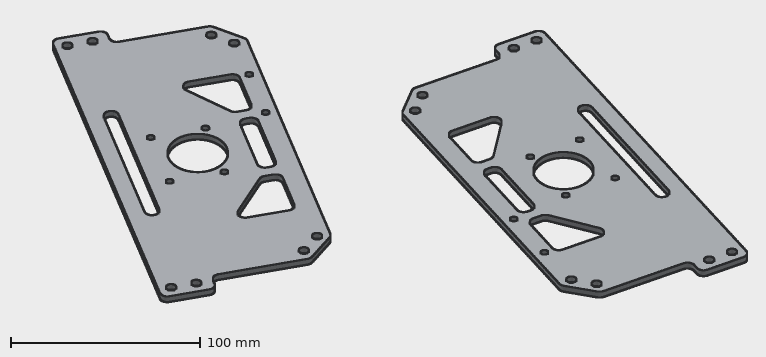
import cadquery as cq

THICKNESS = 4.0
WIDTH = 223.6
DEPTH = 100.0
BODY_WIDTH = 201.6
TAB_HEIGHT = 30.0
SHOULDER_CHAMFER = 15.5
CORNER_RADIUS = 4.0

BORE_DIAMETER = 32.0
BOLT_DIAMETER = 4.0
BOLT_SPACING_X = 38.0
BOLT_SPACING_Y = 30.0
BOLT_CENTRE_Y = -5.6

BACK_HOLE_DIAMETER = 4.0
BACK_HOLE_SPACING = 33.0
BACK_HOLE_CENTRE = (-39.8, 43.5)

MOUNT_DIAMETER = 5.4
MOUNT_POINTS = [(83.7, 42.7), (93.4, 32.8), (104.8, -29.2), (104.8, -43.0)]

WINDOW_BACK_Y = 38.0
WINDOW_RADIUS = 4.0
BACK_SLOT_LENGTH = 42.4
BACK_SLOT_WIDTH = 10.0
FRONT_SLOT_LENGTH = 90.0
FRONT_SLOT_WIDTH = 8.0
FRONT_SLOT_CENTRE = (-1.0, -36.0)
SIDE_WINDOW_INNER_X = 27.9
SIDE_WINDOW_OUTER_X = 58.9
SIDE_WINDOW_FRONT_Y = 7.1
SIDE_WINDOW_INNER_LENGTH = 10.9
SIDE_WINDOW_FRONT_LENGTH = 5.5


def prism(points):
    """Extrude a closed outline through the plate thickness."""
    return cq.Workplane("XY").polyline(points).close().extrude(THICKNESS)


def plate():
    """Plate with chamfered back shoulders and a tab at each front corner."""
    half_width = WIDTH / 2
    half_body = BODY_WIDTH / 2
    back = DEPTH / 2
    front = -back
    tab_back = front + TAB_HEIGHT
    right_side = [
        (half_width, front),
        (half_width, tab_back),
        (half_body, tab_back),
        (half_body, back - SHOULDER_CHAMFER),
        (half_body - SHOULDER_CHAMFER, back),
    ]
    left_side = [(-x, y) for x, y in reversed(right_side)]
    return prism(right_side + left_side).edges("|Z").fillet(CORNER_RADIUS)


def round_holes(diameter, points):
    """Through holes of one diameter."""
    return cq.Workplane("XY").pushPoints(points).circle(diameter / 2).extrude(THICKNESS)


def back_slot():
    """Rounded rectangular opening behind the bore."""
    centre_y = WINDOW_BACK_Y - BACK_SLOT_WIDTH / 2
    block = cq.Workplane("XY").center(0, centre_y).rect(BACK_SLOT_LENGTH, BACK_SLOT_WIDTH).extrude(THICKNESS)
    return block.edges("|Z").fillet(WINDOW_RADIUS)


def front_slot():
    """Long slot with full-round ends in front of the bore."""
    outline = cq.Workplane("XY").center(*FRONT_SLOT_CENTRE).slot2D(FRONT_SLOT_LENGTH, FRONT_SLOT_WIDTH)
    return outline.extrude(THICKNESS)


def side_window(side):
    """Rectangular window with its inner front corner cut away; side is +1 or -1 along X."""
    points = [
        (SIDE_WINDOW_INNER_X, WINDOW_BACK_Y),
        (SIDE_WINDOW_OUTER_X, WINDOW_BACK_Y),
        (SIDE_WINDOW_OUTER_X, SIDE_WINDOW_FRONT_Y),
        (SIDE_WINDOW_OUTER_X - SIDE_WINDOW_FRONT_LENGTH, SIDE_WINDOW_FRONT_Y),
        (SIDE_WINDOW_INNER_X, WINDOW_BACK_Y - SIDE_WINDOW_INNER_LENGTH),
    ]
    return prism([(side * x, y) for x, y in points]).edges("|Z").fillet(WINDOW_RADIUS)


bolt_points = [
    (side_x * BOLT_SPACING_X / 2, BOLT_CENTRE_Y + side_y * BOLT_SPACING_Y / 2)
    for side_x in (-1, 1)
    for side_y in (-1, 1)
]
back_x, back_y = BACK_HOLE_CENTRE
back_points = [(back_x + side * BACK_HOLE_SPACING / 2, back_y) for side in (-1, 1)]
mount_points = [(side * x, y) for side in (-1, 1) for x, y in MOUNT_POINTS]

result = plate()
result = result.cut(round_holes(BORE_DIAMETER, [(0, 0)]))
result = result.cut(round_holes(BOLT_DIAMETER, bolt_points))
result = result.cut(round_holes(BACK_HOLE_DIAMETER, back_points))
result = result.cut(round_holes(MOUNT_DIAMETER, mount_points))
result = result.cut(back_slot())
result = result.cut(front_slot())
for window_side in (-1, 1):
    result = result.cut(side_window(window_side))